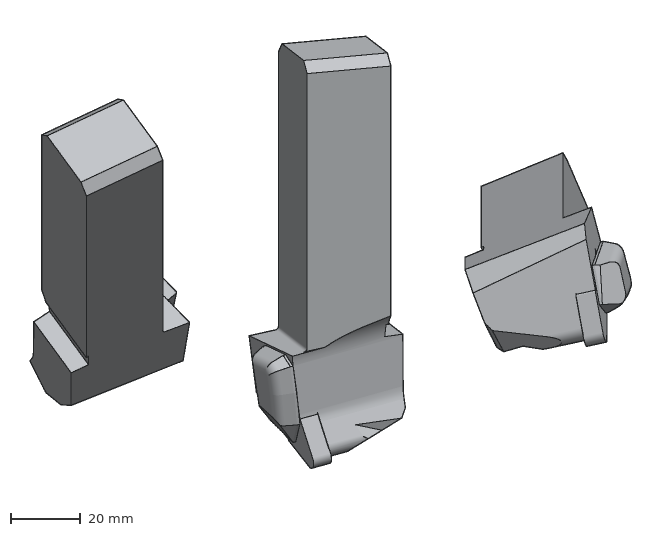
import cadquery as cq
import math

LENGTH = 119.0
SHANK = 25.4
HALF = SHANK / 2
END_CHAMFER = 3.1

HEAD_BACK = -17.7
LEDGE_Z = 34.9
GROOVE_DEPTH = 0.7
GROOVE_HEIGHT = 3.8
HEAD_TOP_Z = 33.6
ROOT_FILLET = 1.1

TIP_X = -19.0
TIP_Y = 12.6
RAKE_X = 0.15
RAKE_Z = 0.13
INTO_HEAD = cq.Vector(RAKE_X, -1, RAKE_Z)
UP_RAKE = cq.Vector(0, RAKE_Z, 1)
RAKE = cq.Plane(origin=(TIP_X, TIP_Y, 0), xDir=UP_RAKE.cross(INTO_HEAD), normal=INTO_HEAD)

NOSE_ANGLE = 40.0
EDGE_ANGLE = 25.0
NOSE_RADIUS = 2.4
INSERT_SIDE = 18.8
INSERT_THICKNESS = 5.8
INSERT_CORNER = 0.7
OVERHANG = 0.4

SIDE_U = 5.4
SIDE_TOP_V = 30.0
CUTTER_RADIUS = 8.3
RUN_OUT_RADIUS = 11.3
HOLDER_NOSE_RADIUS = 3.0
THROUGH = 71.4
RUN_OUT_MID = 45.0

CLAMP_OUTLINE = [
    (5.4, 30.2), (9.3, 32.7), (21.7, 32.7), (20.8, 10.7), (10.1, 6.2), (5.8, 12.5), (5.1, 22.3)
]
CLAMP_SLOPE = ((0, 24.5, 16.9), (0, 0.78, -0.62))
CLAMP_BASE = 0.8
CLAMP_HEIGHT = 6.5
CLAMP_DRAFT = 18.0
CLAMP_ROUND = 3.3

CORNER_PLANE = ((-11.1, HEAD_BACK, 13.8), (-0.22, -0.88, -0.42))
BELLY_PLANE = ((-8.8, -8.8, 5.7), (-0.38, -0.42, -0.82))
UNDER_PLANE = ((-13.7, -1.0, 11.0), (-0.97, -0.1, -0.2))
STOP_PLANE = ((-13.7, -1.0, 11.0), (-0.84, -0.32, 0.55))
HEEL_PLANE = ((7.5, HEAD_BACK, 13.6), (1.1, -0.1, -1.0))


def half_space(point, normal):
    """Large block on the outward side of a plane."""
    plane = cq.Plane(origin=point, normal=normal)
    return cq.Workplane(plane).rect(2 * THROUGH, 2 * THROUGH).extrude(THROUGH)


def polar(start, length, angle):
    """Point at a distance and an angle (degrees) from a start point."""
    turn = math.radians(angle)
    return (start[0] + length * math.cos(turn), start[1] + length * math.sin(turn))


def sharp_tip(inset):
    """Corner where the two cutting edges would meet if moved inwards by an inset."""
    to_corner = (NOSE_RADIUS - inset) / math.sin(math.radians(NOSE_ANGLE / 2))
    return polar((NOSE_RADIUS, NOSE_RADIUS), -to_corner, EDGE_ANGLE + NOSE_ANGLE / 2)


def make_insert():
    tip = sharp_tip(0)
    low = polar(tip, INSERT_SIDE, EDGE_ANGLE)
    high = polar(tip, INSERT_SIDE, EDGE_ANGLE + NOSE_ANGLE)
    far = polar(low, INSERT_SIDE, EDGE_ANGLE + NOSE_ANGLE)
    plate = cq.Workplane(RAKE).polyline([tip, low, far, high]).close().extrude(INSERT_THICKNESS)
    rounds = [(tip, NOSE_RADIUS), (low, INSERT_CORNER), (high, INSERT_CORNER)]
    for corner, radius in rounds:
        mid_edge = RAKE.toWorldCoords((*corner, INSERT_THICKNESS / 2))
        plate = plate.edges(cq.selectors.NearestToPointSelector(mid_edge)).fillet(radius)
    return plate


def make_blank():
    """Shank and head block before the tilted cuts."""
    shank = cq.Workplane("XY").workplane(offset=SHANK).rect(SHANK, SHANK).extrude(LENGTH - SHANK)
    shank = shank.faces(">Z").edges("|Y").chamfer(END_CHAMFER)
    width = HALF - TIP_X
    depth = TIP_Y + SHANK - HEAD_BACK
    head = cq.Workplane("XY").box(width, depth, 2 * SHANK, centered=False)
    head = head.translate((TIP_X, HEAD_BACK, 0))
    head = head.cut(half_space((0, HALF, HEAD_TOP_Z), UP_RAKE))
    blank = head.union(shank)
    root = cq.selectors.NearestToPointSelector((0, HALF, HEAD_TOP_Z))
    blank = blank.edges(root).fillet(ROOT_FILLET)
    groove = cq.Workplane("XY").box(2 * SHANK, SHANK, GROOVE_HEIGHT, centered=(True, False, False))
    return blank.cut(groove.translate((0, GROOVE_DEPTH - HALF - SHANK, LEDGE_Z)))


def head_profile():
    """Prism behind the rake face bounded by the head's side, nose and underside."""
    tip = sharp_tip(OVERHANG)
    flank = EDGE_ANGLE + NOSE_ANGLE
    corner = polar(tip, (SIDE_U - tip[0]) / math.cos(math.radians(flank)), flank)
    bend = math.radians(90 - flank)
    setback = CUTTER_RADIUS * math.tan(bend / 2)
    bend_low = polar(corner, -setback, flank)
    bend_mid = polar((SIDE_U - CUTTER_RADIUS, corner[1] + setback), CUTTER_RADIUS, (flank - 90) / 2)
    half_nose = NOSE_ANGLE / 2
    nose_run = HOLDER_NOSE_RADIUS / math.tan(math.radians(half_nose))
    to_centre = HOLDER_NOSE_RADIUS / math.sin(math.radians(half_nose))
    nose_mid = polar(tip, to_centre - HOLDER_NOSE_RADIUS, flank - half_nose)
    run_out = (SIDE_U - RUN_OUT_RADIUS, SIDE_TOP_V)
    run_out_mid = polar(run_out, RUN_OUT_RADIUS, RUN_OUT_MID)
    run_out_end = (run_out[0], run_out[1] + RUN_OUT_RADIUS)
    clear_u = run_out[0] - SHANK
    return (
        cq.Workplane(RAKE)
        .moveTo(*polar(tip, nose_run, EDGE_ANGLE))
        .threePointArc(nose_mid, polar(tip, nose_run, flank))
        .lineTo(*bend_low)
        .threePointArc(bend_mid, (SIDE_U, corner[1] + setback))
        .lineTo(SIDE_U, SIDE_TOP_V)
        .threePointArc(run_out_mid, run_out_end)
        .lineTo(clear_u, run_out_end[1])
        .lineTo(clear_u, 2 * LENGTH)
        .lineTo(THROUGH, 2 * LENGTH)
        .lineTo(*polar(tip, THROUGH, EDGE_ANGLE))
        .close()
        .extrude(THROUGH)
    )


def clamp_outline(height):
    """Outline of the clamp nose at a height above the rake face."""
    return cq.Workplane(RAKE).workplane(offset=-height).polyline(CLAMP_OUTLINE).close()


def make_clamp_nose():
    base = clamp_outline(0).extrude(-CLAMP_BASE)
    dome = clamp_outline(CLAMP_BASE).extrude(CLAMP_BASE - CLAMP_HEIGHT, taper=CLAMP_DRAFT)
    outermost = cq.selectors.DirectionMinMaxSelector(RAKE.zDir, False)
    dome = dome.faces(outermost).edges().fillet(CLAMP_ROUND)
    dome = dome.cut(half_space(*CLAMP_SLOPE))
    return base.union(dome)


def make_holder(insert):
    holder = make_blank().intersect(head_profile())
    for plane in (CORNER_PLANE, BELLY_PLANE):
        holder = holder.cut(half_space(*plane))
    holder = holder.cut(half_space(*UNDER_PLANE).intersect(half_space(*STOP_PLANE)))
    below = cq.Workplane("XY").box(THROUGH, THROUGH, LEDGE_Z, centered=(True, True, False))
    holder = holder.cut(half_space(*HEEL_PLANE).intersect(below))
    return holder.union(make_clamp_nose()).cut(insert)


insert = make_insert()
holder = make_holder(insert)

result = cq.Compound.makeCompound([holder.val(), insert.val()])